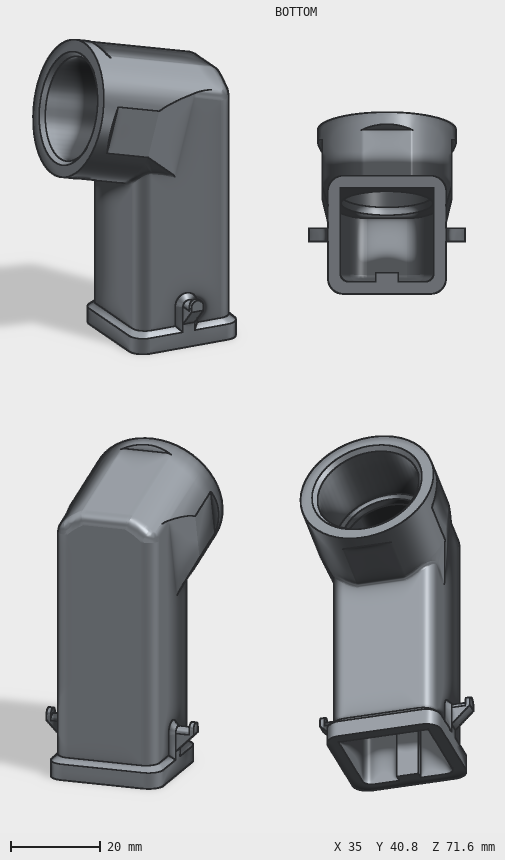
import cadquery as cq
import math

base_width = 26.5
base_corner_radius = 3.5
base_straight_height = 3.75
base_top = 5.0

body_width = 24.0
body_half = body_width / 2
body_edge_radius = 3.25
roof_edge_radius = 3.0
wall = 1.5
base_step = (base_width - body_width) / 2

neck_tilt = 15.0
neck_radius = 15.5
neck_face_y = -23.5
neck_face_z = 56.65
neck_flat = 14.5
flat_step = neck_radius - neck_flat
lower_flat_edge_radius = 1.3
upper_flat_edge_radius = 2.5
collar_length = 2.8
flank_start = 14.5
flank_end = 24.0
neck_root_radius = 1.0

bore_radius = 11.8
bore_depth = 15.2
mouth_chamfer = 1.0
throat_radius = 10.3
cavity_start = 17.0
cavity_half = body_half - wall
cavity_roof = neck_flat - wall
roof_bevel_inner_x = 6.8
roof_bevel_foot = 8.7
roof_bevel_radius = 5.0
cavity_edge_radius = 2.0
rib_width = 5.0
rib_thickness = 2.0

pin_radius = 1.5
pin_z = 9.75
pin_tip_x = 17.5
pin_head_length = 1.05
pin_head_top = 12.5
gusset_tip_z = 9.9

neck_plane = cq.Plane(
    origin=(0, neck_face_y, neck_face_z),
    xDir=(1, 0, 0),
    normal=(0, -math.cos(math.radians(neck_tilt)), math.sin(math.radians(neck_tilt))),
)
along_neck = cq.selectors.ParallelDirSelector(neck_plane.zDir)
reach = 100.0
select_margin = 0.1


def neck_section(start_depth):
    """Workplane square to the neck axis: local X is the part's X, local Y points up."""
    return cq.Workplane(neck_plane).workplane(offset=-start_depth)


def rounded_square(width, corner_radius):
    return cq.Sketch().rect(width, width).vertices().fillet(corner_radius)


def make_base():
    """Flange with a bevel leading in to the column."""
    flange = rounded_square(base_width, base_corner_radius)
    column_foot = rounded_square(body_width, body_edge_radius)
    plate = cq.Workplane("XY").placeSketch(flange).extrude(base_straight_height)
    bevel = (
        cq.Workplane("XY", origin=(0, 0, base_straight_height))
        .placeSketch(flange, column_foot.moved(cq.Location((0, 0, base_top - base_straight_height))))
        .loft(ruled=True)
    )
    return plate.union(bevel)


def make_column():
    """Square column ending on a tilted plane through the neck axis."""
    column = cq.Workplane("XY").rect(body_width, body_width).extrude(reach)
    below_axis = (
        neck_section(0)
        .center(0, -reach / 2)
        .rect(2 * body_width, reach)
        .extrude(-reach)
    )
    return column.edges("|Z and <Y").fillet(body_edge_radius).intersect(below_axis)


def lower_half_outline(section, half_width):
    """Lower half of the round neck's cross section, cut off at its sides."""
    side_end = math.sqrt(neck_radius**2 - half_width**2)
    return (
        section.moveTo(-half_width, 0)
        .lineTo(-half_width, -side_end)
        .threePointArc((0, -neck_radius), (half_width, -side_end))
        .lineTo(half_width, 0)
        .close()
    )


def make_neck_underside():
    """Lower half of the neck between its flats and the column, narrowing in straight lines."""
    wide_end = lower_half_outline(neck_section(flank_start), neck_flat)
    narrow_end = wide_end.workplane(offset=flank_start - flank_end)
    return lower_half_outline(narrow_end, body_half).loft(ruled=True)


def make_neck():
    """Round neck with four flats behind its collar, narrowing to the column width."""
    full_width = 2 * neck_radius
    flat_width = 2 * neck_flat
    cylinder = neck_section(0).circle(neck_radius).extrude(-reach)
    collar = neck_section(0).rect(full_width, full_width).extrude(-collar_length)
    step = (
        neck_section(collar_length)
        .rect(full_width, full_width)
        .workplane(offset=-flat_step)
        .rect(flat_width, flat_width)
        .loft(ruled=True)
    )
    shank = neck_section(collar_length + flat_step).rect(flat_width, flat_width).extrude(-reach)
    flank_plane = cq.Plane(origin=neck_plane.origin, xDir=(1, 0, 0), normal=neck_plane.yDir.toTuple())
    flanks = (
        cq.Workplane(flank_plane)
        .polyline([
            (-full_width, 0),
            (-full_width, collar_length + flat_step),
            (-neck_flat, collar_length + flat_step),
            (-neck_flat, flank_start),
            (-body_half, flank_end),
            (-body_half, reach),
            (body_half, reach),
            (body_half, flank_end),
            (neck_flat, flank_start),
            (neck_flat, collar_length + flat_step),
            (full_width, collar_length + flat_step),
            (full_width, 0),
        ])
        .close()
        .extrude(full_width, both=True)
    )
    ahead_of_back = (
        cq.Workplane("XY").center(0, body_half - reach / 2).rect(reach, reach).extrude(reach)
    )
    straight_neck = cylinder.intersect(flanks).intersect(ahead_of_back)
    underside = (
        neck_section(flank_start)
        .center(0, -reach / 2)
        .rect(reach, reach)
        .extrude(-reach)
    )
    round_neck = straight_neck.cut(underside).union(make_neck_underside())
    return round_neck.intersect(collar.union(step).union(shank))


def make_cavity():
    """Hollow inside of the column, open at the bottom, with a rib left on its back wall."""
    column = (
        cq.Workplane("XY")
        .rect(2 * cavity_half, 2 * cavity_half)
        .extrude(reach)
    )
    roof = (
        neck_section(cavity_start)
        .polyline([
            (-cavity_half, -reach),
            (-cavity_half, roof_bevel_foot),
            (-roof_bevel_inner_x, cavity_roof),
            (roof_bevel_inner_x, cavity_roof),
            (cavity_half, roof_bevel_foot),
            (cavity_half, -reach),
        ])
        .close()
        .extrude(-reach)
    )
    cavity = column.intersect(roof)
    bevel_tops = cq.selectors.BoxSelector(
        (-cavity_half + select_margin, -body_half, neck_face_z),
        (cavity_half - select_margin, body_half, reach),
    )
    cavity = cavity.edges(along_neck).edges(bevel_tops).fillet(roof_bevel_radius)
    cavity = cavity.faces(">Y").edges("not <Z").fillet(cavity_edge_radius)
    rib = (
        cq.Workplane("XY")
        .center(0, cavity_half - rib_thickness / 2)
        .rect(rib_width, rib_thickness)
        .extrude(reach)
    )
    return cavity.cut(rib)


def make_bore():
    """Chamfered bore in the neck and the narrower throat that joins it to the cavity."""
    bore = neck_section(0).circle(bore_radius).extrude(-bore_depth)
    mouth = (
        neck_section(0)
        .circle(bore_radius + mouth_chamfer)
        .workplane(offset=-mouth_chamfer)
        .circle(bore_radius)
        .loft()
    )
    throat_length = cavity_start - bore_depth + wall
    throat = neck_section(bore_depth).circle(throat_radius).extrude(-throat_length)
    return bore.union(mouth).union(throat)


def make_latch():
    """Latch pin on the +X side with its bevelled pad, hooked head and gusset."""
    pad_x = base_width / 2
    foot_radius = pin_radius + base_step
    cone = (
        cq.Workplane("YZ", origin=(body_half, 0, pin_z))
        .circle(foot_radius)
        .workplane(offset=base_step)
        .circle(pin_radius)
        .loft()
    )
    leg = (
        cq.Workplane("XY")
        .polyline([
            (body_half, -foot_radius),
            (pad_x, -pin_radius),
            (pad_x, pin_radius),
            (body_half, foot_radius),
        ])
        .close()
        .extrude(pin_z)
    )
    pin = cq.Workplane("YZ", origin=(body_half, 0, pin_z)).circle(pin_radius).extrude(pin_tip_x - body_half)
    head_x = pin_tip_x - pin_head_length
    head_centre_z = pin_head_top - pin_radius
    head = (
        cq.Workplane("YZ", origin=(head_x, 0, 0))
        .moveTo(-pin_radius, pin_z)
        .lineTo(-pin_radius, head_centre_z)
        .threePointArc((0, pin_head_top), (pin_radius, head_centre_z))
        .lineTo(pin_radius, pin_z)
        .close()
        .extrude(pin_head_length)
    )
    gusset_foot_z = gusset_tip_z - (pin_tip_x - pad_x)
    below_gusset = (
        cq.Workplane("XZ")
        .polyline([(pad_x, 0), (pin_tip_x, 0), (pin_tip_x, gusset_tip_z), (pad_x, gusset_foot_z)])
        .close()
        .extrude(foot_radius, both=True)
    )
    gusset = (
        cq.Workplane("XZ")
        .polyline([(pad_x, gusset_foot_z), (pin_tip_x, gusset_tip_z), (pad_x, gusset_tip_z)])
        .close()
        .extrude(pin_radius, both=True)
    )
    return cone.union(leg).union(pin.union(head).union(gusset).cut(below_gusset))


def make_shell():
    """Column and neck joined, with the back, flat, roof and neck root edges rounded."""
    shell = make_column().union(make_neck())
    shell = shell.edges("|Z and >Y").fillet(body_edge_radius)
    for bottom, top, radius in (
        (0, neck_face_z, lower_flat_edge_radius),
        (neck_face_z, reach, upper_flat_edge_radius),
    ):
        near_middle = cq.selectors.BoxSelector((-body_half / 2, -reach, bottom), (body_half / 2, reach, top))
        shell = shell.edges(along_neck).edges(near_middle).fillet(radius)
    limit = body_half + select_margin
    roof_edges = cq.selectors.BoxSelector((-limit, 0, neck_face_z), (limit, limit, reach))
    shell = shell.edges(roof_edges).fillet(roof_edge_radius)
    below_neck = neck_face_z - 2 * neck_radius
    root_edges = cq.selectors.BoxSelector((-limit, -limit, below_neck), (limit, 0, neck_face_z))
    return shell.edges(root_edges).fillet(neck_root_radius)


latch = make_latch()
result = make_shell().union(make_base()).union(latch).union(latch.mirror("YZ"))
result = result.cut(make_cavity()).cut(make_bore())